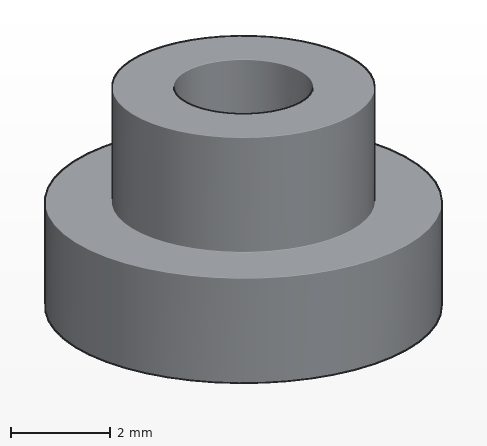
import cadquery as cq

flange_diameter = 8.0
flange_height = 2.3
boss_diameter = 5.3
bore_diameter = 2.8
total_height = 4.8
edge_radius = 0.01

boss_height = total_height - flange_height

flange = cq.Workplane("XY").circle(flange_diameter / 2).extrude(flange_height)

bushing = flange.faces(">Z").workplane().circle(boss_diameter / 2).extrude(boss_height)

bored_bushing = bushing.faces(">Z").workplane().hole(bore_diameter)

result = bored_bushing.edges("%CIRCLE").fillet(edge_radius)